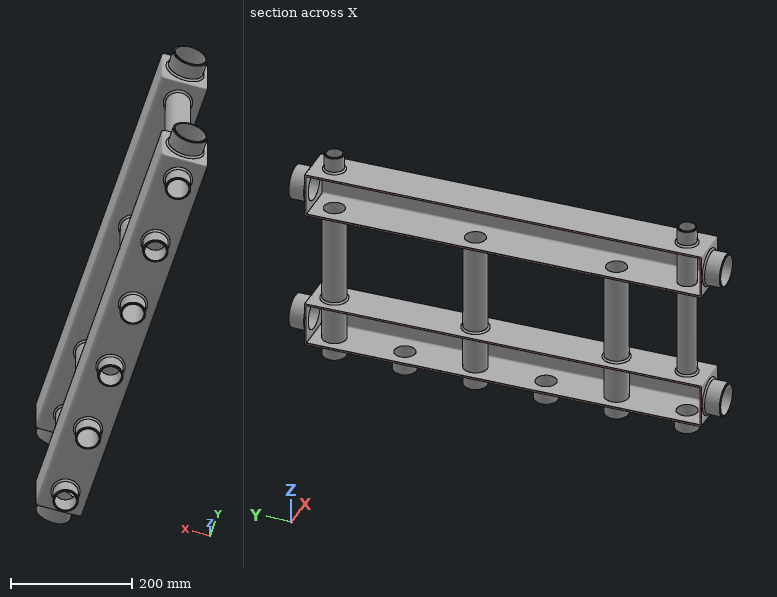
import cadquery as cq

total_length = 765
header_length = 704.5
header_side = 80.0
header_gap = 170.0
header_wall = 4.0
header_corner = 7.0
header_end_round = 3.0

end_outer = 60.0
end_inner = 53.0
inlet_outer = 34.0
inlet_inner = 27.5
outlet_outer = 42.0
outlet_inner = 36.0
vertical_stub_length = 30.0
end_stub_length = (total_length - header_length) / 2
rim_chamfer = 1.15
weld_leg = 3.0

outlet_count = 6
outlet_span = 625.0
outlet_pitch = outlet_span / (outlet_count - 1)
outlet_ys = [i * outlet_pitch - outlet_span / 2 for i in range(outlet_count)]

upper_bottom = header_gap / 2
upper_top = upper_bottom + header_side
lower_top = -upper_bottom
lower_bottom = -upper_top
pipe_top = upper_top + vertical_stub_length
pipe_bottom = -pipe_top
header_middle = (upper_bottom + upper_top) / 2

UP = cq.Vector(0, 0, 1)
DOWN = cq.Vector(0, 0, -1)


def header(middle_z):
    """Hollow square tube with closed ends and rounded outer edges."""
    outside = (
        cq.Workplane()
        .box(header_side, header_length, header_side)
        .edges("|Y")
        .fillet(header_corner)
        .faces("<Y or >Y")
        .edges()
        .fillet(header_end_round)
    )
    inner_side = header_side - 2 * header_wall
    cavity = (
        cq.Workplane()
        .box(inner_side, header_length - 2 * header_wall, inner_side)
        .edges("|Y")
        .fillet(header_corner - header_wall)
    )
    return outside.cut(cavity).translate((0, 0, middle_z))


def pipe(start, direction, length, diameter):
    """Solid pipe blank whose far rim is chamfered on the outside."""
    radius = diameter / 2
    straight = length - rim_chamfer
    shank = cq.Solid.makeCylinder(radius, straight, start, direction)
    rim_start = start + direction * straight
    rim = cq.Solid.makeCone(radius, radius - rim_chamfer, rim_chamfer, rim_start, direction)
    return cq.Workplane(shank).union(cq.Workplane(rim))


def bore(start, direction, length, diameter):
    return cq.Workplane(cq.Solid.makeCylinder(diameter / 2, length, start, direction))


def weld(start, direction, diameter):
    """Conical bead that narrows from a header face onto a pipe."""
    radius = diameter / 2
    return cq.Workplane(cq.Solid.makeCone(radius + weld_leg, radius, weld_leg, start, direction))


pipes = []


def add_vertical_pipe(y, inner_z, direction, outer, inner):
    """Pipe from a header wall out to the top or bottom of the part."""
    length = pipe_top - inner_z * direction.z
    pipes.append((cq.Vector(0, y, inner_z), direction, length, outer, inner))


add_vertical_pipe(outlet_ys[0], lower_top - header_wall, UP, inlet_outer, inlet_inner)
add_vertical_pipe(outlet_ys[-1], upper_top - header_wall, UP, inlet_outer, inlet_inner)

for y in outlet_ys[0::2]:
    add_vertical_pipe(y, lower_bottom + header_wall, DOWN, outlet_outer, outlet_inner)
for y in outlet_ys[1::2]:
    add_vertical_pipe(y, upper_bottom + header_wall, DOWN, outlet_outer, outlet_inner)

header_faces = [(upper_top, UP), (upper_bottom, DOWN), (lower_top, UP), (lower_bottom, DOWN)]
welds = []
for start, direction, length, outer, _ in pipes:
    pipe_ends = (start.z, start.z + direction.z * length)
    for face_z, face_direction in header_faces:
        if min(pipe_ends) < face_z < max(pipe_ends):
            welds.append(weld(cq.Vector(0, start.y, face_z), face_direction, outer))

for middle_z in (-header_middle, header_middle):
    for side in (-1, 1):
        direction = cq.Vector(0, side, 0)
        face = cq.Vector(0, side * header_length / 2, middle_z)
        inner_end = face - direction * header_wall
        pipes.append((inner_end, direction, header_wall + end_stub_length, end_outer, end_inner))
        welds.append(weld(face, direction, end_outer))

body = header(header_middle).union(header(-header_middle))
for start, direction, length, outer, _ in pipes:
    body = body.union(pipe(start, direction, length, outer))
for bead in welds:
    body = body.union(bead)
for start, direction, length, _, inner in pipes:
    body = body.cut(bore(start, direction, length, inner))

result = body